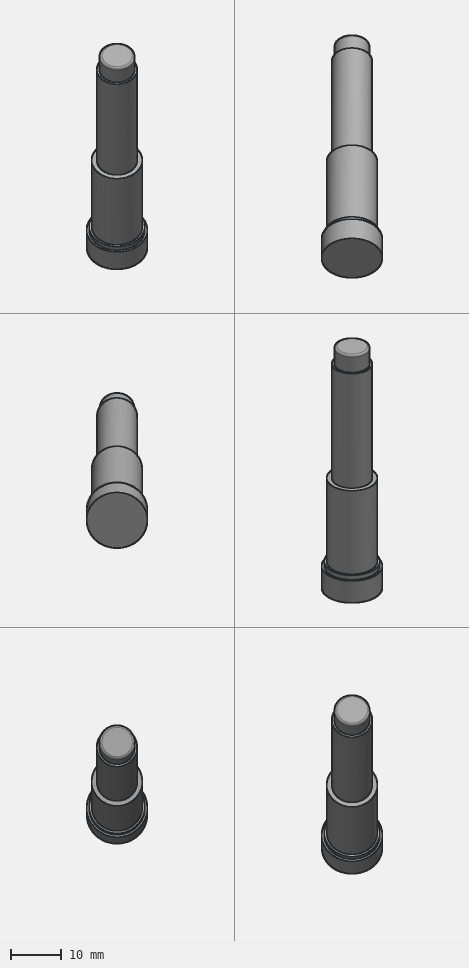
import cadquery as cq

total_height = 55.0

head_diameter = 12.0
head_top = 5.0

collar_diameter = 11.0
collar_top = 6.0

body_diameter = 10.0
body_top = 24.95

shank_diameter = 8.0
shank_top = 51.0

tip_diameter = 7.0
tip_edge_radius = 0.5

upper_steps = [
    (collar_diameter, collar_top),
    (body_diameter, body_top),
    (shank_diameter, shank_top),
    (tip_diameter, total_height),
]

pin = cq.Workplane("XY").circle(head_diameter / 2).extrude(head_top)
base = head_top
for diameter, top in upper_steps:
    pin = pin.faces(">Z").workplane().circle(diameter / 2).extrude(top - base)
    base = top

result = pin.faces(">Z").edges().fillet(tip_edge_radius)